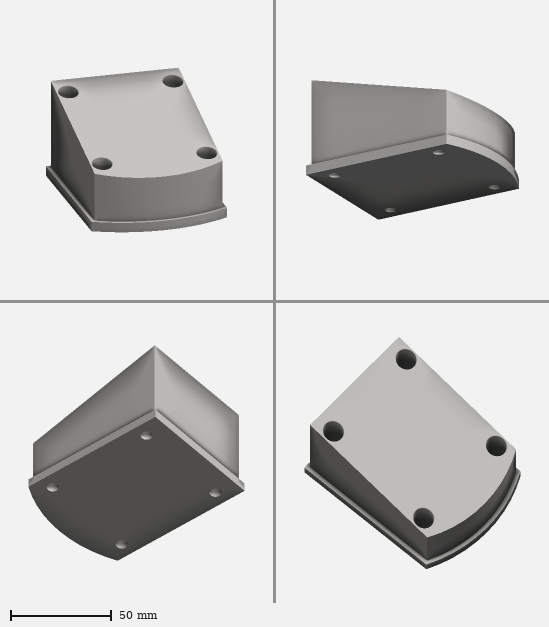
import cadquery as cq
import math

length = 89.8
width = 70.0
height = 50.71

flange_thickness = 5.0
flange_margin = 2.0
nose_radius = 75.0
top_slope_deg = 15.06

hole_diameter = 6.0
bore_diameter = 10.0
bore_fillet = 0.5
bore_floor = flange_thickness
hole_rear_x = 12.0
hole_spacing_x = 60.0
hole_spacing_y = 54.0


def bow_nosed_outline(margin):
    """Rectangle with a bowed +X end, inset evenly by margin from the flange edge."""
    radius = nose_radius - margin
    half_width = width / 2 - margin
    rear_x = margin
    nose_x = length - margin
    corner_x = nose_x - radius + math.sqrt(radius**2 - half_width**2)
    return (
        cq.Workplane("XY")
        .moveTo(rear_x, -half_width)
        .lineTo(corner_x, -half_width)
        .threePointArc((nose_x, 0), (corner_x, half_width))
        .lineTo(rear_x, half_width)
        .close()
    )


def top_height(x):
    """Height of the sloping top face at a given x."""
    return height - (x - flange_margin) * math.tan(math.radians(top_slope_deg))


def wedge():
    """Side profile under the sloping top, as wide as the flange."""
    return (
        cq.Workplane("XZ")
        .moveTo(0, 0)
        .lineTo(length, 0)
        .lineTo(length, top_height(length))
        .lineTo(0, top_height(0))
        .close()
        .extrude(width / 2, both=True)
    )


def vertical_cylinders(diameter, bottom_z):
    """One cylinder per screw position, reaching above the part."""
    return (
        cq.Workplane("XY", origin=(hole_rear_x + hole_spacing_x / 2, 0, bottom_z))
        .rarray(hole_spacing_x, hole_spacing_y, 2, 2)
        .circle(diameter / 2)
        .extrude(height)
    )


def bored_wedge():
    """Wedge with its four bores, each rounded over at the sloping top."""
    wedge_with_bores = wedge().cut(vertical_cylinders(bore_diameter, bore_floor))
    rounded = wedge_with_bores.edges("%ELLIPSE").fillet(bore_fillet)
    floor_center = (hole_rear_x + hole_spacing_x, hole_spacing_y / 2, bore_floor)
    floor_edge = cq.selectors.NearestToPointSelector(floor_center)
    return rounded.edges(floor_edge).fillet(bore_fillet)


flange = bow_nosed_outline(0).extrude(flange_thickness)
body = bow_nosed_outline(flange_margin).extrude(height).intersect(bored_wedge())
result = flange.union(body).cut(vertical_cylinders(hole_diameter, 0))